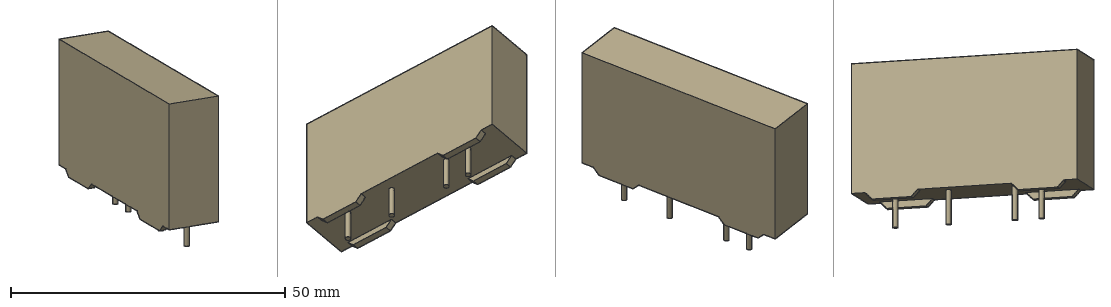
import cadquery as cq

length = 43.2
pitch = length / 17
half_pitch = pitch / 2

body_depth = 4 * pitch
body_height = 9.5 * pitch

foot_height = half_pitch
foot_thickness = half_pitch
foot_spans = [(pitch, 5 * pitch), (12 * pitch, 16 * pitch)]

pin_diameter = 0.4 * pitch
pin_length = 2.5 * pitch
pin_positions = [3 * pitch, 5 * pitch, 10 * pitch, 14 * pitch]
pin_row = body_depth - pitch


def make_foot(start, end, front):
    """Foot tapering at 45 degrees below the body, with its -Y face at front."""
    outline = [
        (start, 0),
        (start + foot_height, -foot_height),
        (end - foot_height, -foot_height),
        (end, 0),
    ]
    plane = cq.Workplane("XZ", origin=(0, front, 0))
    return plane.polyline(outline).close().extrude(-foot_thickness)


def make_pin(x):
    """Round pin hanging from the underside of the body."""
    plane = cq.Workplane("XY").center(x, pin_row)
    return plane.circle(pin_diameter / 2).extrude(-pin_length)


result = cq.Workplane("XY").box(length, body_depth, body_height, centered=False)

for start, end in foot_spans:
    for front in (0, body_depth - foot_thickness):
        result = result.union(make_foot(start, end, front))

for x in pin_positions:
    result = result.union(make_pin(x))